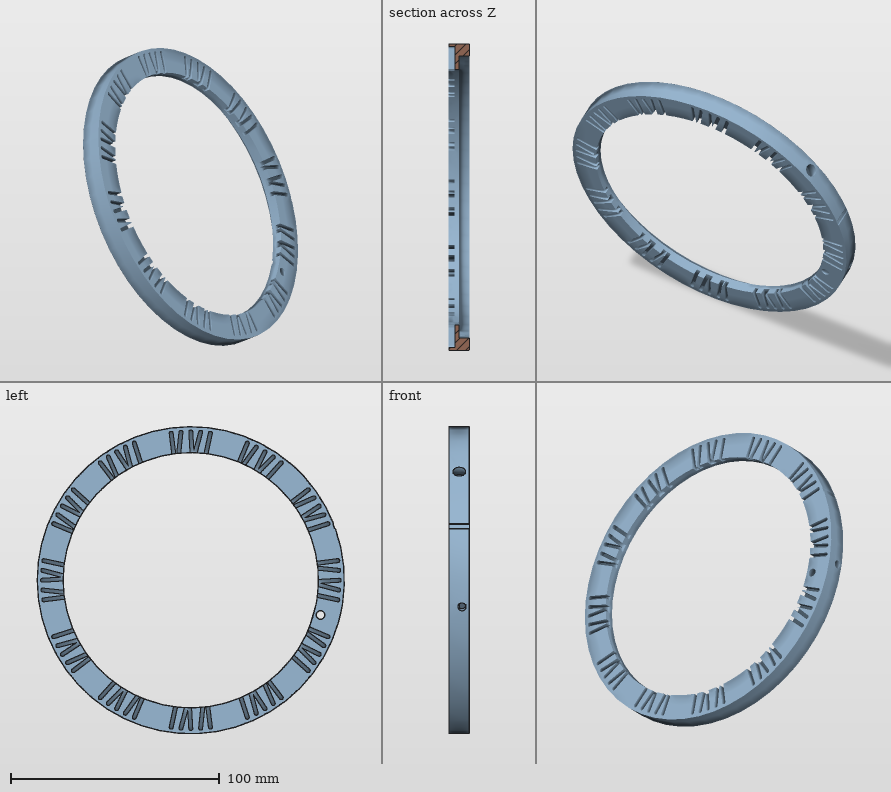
import cadquery as cq
import math

OUTER_RADIUS = 73.5
BORE_RADIUS = 61.0
THICKNESS = 10.0
RIM_CHAMFER = 0.5

COUNTERBORE_RADIUS = 67.3
LAND_THICKNESS = THICKNESS / 2

GROUP_COUNT = 12
GROUP_PITCH_ANGLE = 360 / GROUP_COUNT
SLOT_PITCH_ANGLE = 3.8
SLOT_LEANS = (-7.2, 6.0, -3.4, 14.9, 12.1)
SLOT_WIDTH = 1.9
SLOT_DEPTH = 3.0
SLOT_TIP_RADIUS = 71.9
SLOT_LENGTH = 13.2

AXIAL_HOLE_DIAMETER = 4.0
AXIAL_HOLE_CENTER_RADIUS = 64.2
AXIAL_HOLE_ANGLE = 15.0

DRILLED_HOLE_DIAMETER = 6.0
DRILLED_HOLE_DEPTH = 5.0
DRILLED_HOLE_ANGLE = -45.0
DRILL_POINT_ANGLE = 140.0
CROSS_HOLE_DIAMETER = 3.8
CROSS_HOLE_ANGLE = 10.0
CROSS_HOLE_X = 6.3

GROOVE_ANGLE = -20.6
GROOVE_DEPTH = 0.3
GROOVE_FLOOR_WIDTH = 1.9
GROOVE_MOUTH_WIDTH = 3.0

CLEARANCE = 1.5


def about_axis(shape, angle):
    return shape.rotate((0, 0, 0), (1, 0, 0), angle)


def disc(radius, length, start=0.0):
    return cq.Workplane("YZ", origin=(start, 0, 0)).circle(radius).extrude(length)


def make_ring():
    blank = disc(OUTER_RADIUS, THICKNESS).faces(">X").edges().chamfer(RIM_CHAMFER)
    bore = disc(BORE_RADIUS, THICKNESS)
    counterbore = disc(COUNTERBORE_RADIUS, THICKNESS - LAND_THICKNESS, LAND_THICKNESS)
    return blank.cut(bore).cut(counterbore)


def make_slot(position_angle, lean):
    """Slot with a round outer end, placed at an angle from +Z toward -Y and tilted by its lean."""
    tip = disc(SLOT_WIDTH / 2, SLOT_DEPTH)
    run = (
        cq.Workplane("YZ")
        .center(0, -SLOT_LENGTH / 2)
        .rect(SLOT_WIDTH, SLOT_LENGTH)
        .extrude(SLOT_DEPTH)
    )
    slot = about_axis(tip.union(run), lean)
    tip_center_radius = SLOT_TIP_RADIUS - SLOT_WIDTH / 2
    position = math.radians(position_angle)
    return slot.translate(
        (0, -tip_center_radius * math.sin(position), tip_center_radius * math.cos(position))
    )


def make_slot_group():
    middle = (len(SLOT_LEANS) - 1) / 2
    group = cq.Workplane("YZ")
    for index, lean in enumerate(SLOT_LEANS):
        group = group.add(make_slot((index - middle) * SLOT_PITCH_ANGLE, lean))
    return group.combine()


def make_axial_hole():
    hole = disc(AXIAL_HOLE_DIAMETER / 2, THICKNESS).translate((0, -AXIAL_HOLE_CENTER_RADIUS, 0))
    return about_axis(hole, AXIAL_HOLE_ANGLE)


def make_drilled_hole():
    """Blind hole with a conical drill point."""
    radius = DRILLED_HOLE_DIAMETER / 2
    point_length = radius / math.tan(math.radians(DRILL_POINT_ANGLE / 2))
    shoulder_y = -OUTER_RADIUS + DRILLED_HOLE_DEPTH
    center_x = THICKNESS / 2
    drill = (
        cq.Workplane("XY")
        .moveTo(center_x, -OUTER_RADIUS - CLEARANCE)
        .lineTo(center_x + radius, -OUTER_RADIUS - CLEARANCE)
        .lineTo(center_x + radius, shoulder_y)
        .lineTo(center_x, shoulder_y + point_length)
        .close()
        .revolve(360, (center_x, 0, 0), (center_x, 1, 0))
    )
    return about_axis(drill, DRILLED_HOLE_ANGLE)


def make_cross_hole():
    """Hole through the whole wall, from the rim into the bore."""
    length = OUTER_RADIUS - BORE_RADIUS + 2 * CLEARANCE
    start = cq.Vector(CROSS_HOLE_X, -OUTER_RADIUS - CLEARANCE, 0)
    hole = cq.Solid.makeCylinder(CROSS_HOLE_DIAMETER / 2, length, start, cq.Vector(0, 1, 0))
    return about_axis(cq.Workplane(hole), CROSS_HOLE_ANGLE)


def make_groove():
    half_floor = GROOVE_FLOOR_WIDTH / 2
    half_mouth = GROOVE_MOUTH_WIDTH / 2
    floor_y = -OUTER_RADIUS + GROOVE_DEPTH
    profile = (
        cq.Workplane("YZ")
        .moveTo(floor_y, -half_floor)
        .lineTo(floor_y, half_floor)
        .lineTo(-OUTER_RADIUS, half_mouth)
        .lineTo(-OUTER_RADIUS - CLEARANCE, half_mouth)
        .lineTo(-OUTER_RADIUS - CLEARANCE, -half_mouth)
        .lineTo(-OUTER_RADIUS, -half_mouth)
        .close()
    )
    return about_axis(profile.extrude(THICKNESS), GROOVE_ANGLE)


result = make_ring()

slot_group = make_slot_group()
for group_index in range(GROUP_COUNT):
    result = result.cut(about_axis(slot_group, group_index * GROUP_PITCH_ANGLE))

for cutter in (make_axial_hole(), make_drilled_hole(), make_cross_hole(), make_groove()):
    result = result.cut(cutter)